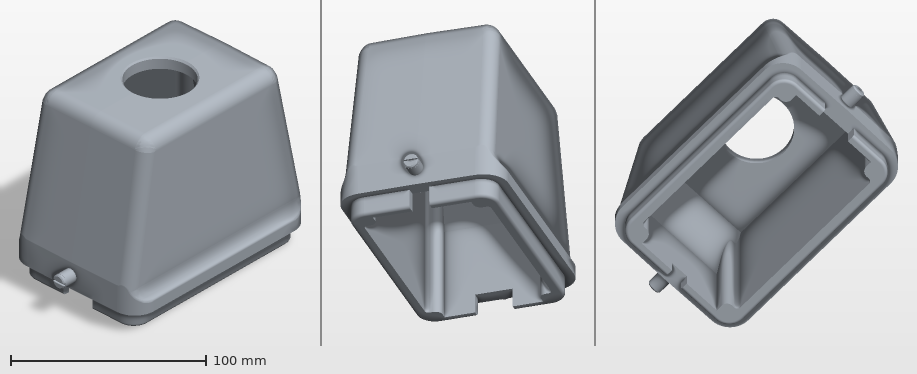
import cadquery as cq
import math

SKIRT_HALF_X = 39.8
SKIRT_HALF_Y = 61.2
SKIRT_HEIGHT = 10.3
SKIRT_CORNER_RADIUS = 9.7
SKIRT_EDGE_RADIUS = 1.7
FRONT_NOTCH_WIDTH = 20.3
BACK_NOTCH_WIDTH = 10.6

FLANGE_HALF_X = 45.0
FLANGE_HALF_Y = 65.5
FLANGE_TOP = 26.5
FLANGE_CORNER_RADIUS = 13.4
LEDGE_Z = 15.8
COVE_RADIUS = 9.9
RIM_RADIUS = 1.5

TOTAL_HEIGHT = 108.4
HOOD_FOOT_HALF_X = 40.5
HOOD_TOP_HALF_X = 38.0
ROOF_RADIUS = 7.9
CORNER_RADIUS = 7.0
RIDGE_RISE = 0.5
END_SLOPE = 0.192

ENTRY_DIAMETER = 38.5
ENTRY_CHAMFER = 1.0

WALL = 4.2
ROOF_THICKNESS = 7.1
CAVITY_HALF_X = 34.2
CAVITY_HALF_Y = SKIRT_HALF_Y - WALL
PAD_LENGTH_X = 7.6
PAD_FACE_Y = 49.5
PAD_EDGE_RADIUS = 4.0
CAVITY_CORNER_RADIUS = 2.0

PIN_DIAMETER = 8.0
PIN_TIP_DIAMETER = 7.9
PIN_TIP_LENGTH = 2.0
PIN_HEIGHT = 19.1
PIN_END_Y = 75.9
PIN_ROOT_DEPTH = 2.3
PIN_CHAMFER = 0.6
PIN_NECK_DIAMETER = 6.2
PIN_NECK_LENGTH = 0.6
SLOT_WIDTH = 1.4
SLOT_DEPTH = 1.2


def end_wall_y(x, z):
    """Distance of the sloping, slightly pointed end wall from the plane Y = 0."""
    point = RIDGE_RISE * (1 - x / FLANGE_HALF_X)
    return FLANGE_HALF_Y + point - END_SLOPE * (z - FLANGE_TOP)


def flat_face(points):
    return cq.Face.makeFromWires(cq.Wire.makePolygon([cq.Vector(*point) for point in points], close=True))


def make_half_hood():
    """The +X half of the hood: a flat-sided block with its outer edges rounded."""
    foot = []
    roof = []
    for x_foot, x_roof, z_roof in (
        (0, 0, TOTAL_HEIGHT),
        (HOOD_FOOT_HALF_X, HOOD_TOP_HALF_X, TOTAL_HEIGHT - RIDGE_RISE),
    ):
        for end in (-1, 1):
            foot.append((x_foot, end * end_wall_y(x_foot, LEDGE_Z), LEDGE_Z))
            roof.append((x_roof, end * end_wall_y(x_roof, z_roof), z_roof))
    around = (0, 1, 3, 2)
    faces = [flat_face([ring[i] for i in around]) for ring in (foot, roof)]
    for i, j in zip(around, around[1:] + around[:1]):
        faces.append(flat_face([foot[i], foot[j], roof[j], roof[i]]))
    block = cq.Workplane(cq.Solid.makeSolid(cq.Shell.makeShell(faces)))
    eaves = block.edges().filter(
        lambda edge: edge.Center().x > RIDGE_RISE and edge.Center().z > TOTAL_HEIGHT - 2 * RIDGE_RISE
    )
    hood = eaves.fillet(ROOF_RADIUS)
    corners = hood.edges().filter(
        lambda edge: edge.Center().x > HOOD_TOP_HALF_X and edge.BoundingBox().zlen > ROOF_RADIUS
    )
    return corners.fillet(CORNER_RADIUS)


def make_half_shell():
    """The +X half of hood and flange, with a concave fillet between them."""
    reach = 2 * FLANGE_HALF_Y
    ledge_height = LEDGE_Z - SKIRT_HEIGHT
    ledge = (
        cq.Workplane("XY", origin=(0, 0, SKIRT_HEIGHT))
        .box(reach, 2 * reach, ledge_height, centered=(False, True, False))
    )
    flared = make_half_hood().union(ledge)
    inner_corners = flared.edges(
        cq.selectors.BoxSelector(
            (RIDGE_RISE, -FLANGE_HALF_X * 1.6, LEDGE_Z - 0.2),
            (FLANGE_HALF_X, FLANGE_HALF_X * 1.6, LEDGE_Z + 0.2),
        )
    )
    flared = inner_corners.fillet(COVE_RADIUS)
    band = (
        cq.Workplane("XY", origin=(0, 0, SKIRT_HEIGHT))
        .moveTo(0, -FLANGE_HALF_Y - RIDGE_RISE)
        .lineTo(FLANGE_HALF_X, -FLANGE_HALF_Y)
        .lineTo(FLANGE_HALF_X, FLANGE_HALF_Y)
        .lineTo(0, FLANGE_HALF_Y + RIDGE_RISE)
        .close()
        .extrude(TOTAL_HEIGHT)
        .edges("|Z and >X")
        .fillet(FLANGE_CORNER_RADIUS)
    )
    shell = flared.intersect(band)
    outer_rim = shell.edges().filter(
        lambda edge: edge.Center().z > LEDGE_Z and edge.BoundingBox().xmin > FLANGE_HALF_X - RIM_RADIUS
    )
    return outer_rim.edges("|Y").fillet(RIM_RADIUS)


def make_skirt():
    return (
        cq.Workplane("XY")
        .rect(2 * SKIRT_HALF_X, 2 * SKIRT_HALF_Y)
        .extrude(SKIRT_HEIGHT)
        .edges("|Z")
        .fillet(SKIRT_CORNER_RADIUS)
        .faces("<Z")
        .edges()
        .fillet(SKIRT_EDGE_RADIUS)
    )


def make_cavity():
    height = TOTAL_HEIGHT - ROOF_THICKNESS
    bend_z = FLANGE_TOP + (FLANGE_HALF_Y - WALL - CAVITY_HALF_Y) / END_SLOPE
    top_half_y = CAVITY_HALF_Y - END_SLOPE * (height - bend_z)
    end_walls = (
        cq.Workplane("YZ")
        .moveTo(-CAVITY_HALF_Y, 0)
        .lineTo(CAVITY_HALF_Y, 0)
        .lineTo(CAVITY_HALF_Y, bend_z)
        .lineTo(top_half_y, height)
        .lineTo(-top_half_y, height)
        .lineTo(-CAVITY_HALF_Y, bend_z)
        .close()
        .extrude(CAVITY_HALF_X, both=True)
    )
    wide_part = (
        cq.Workplane("XY")
        .rect(2 * CAVITY_HALF_X, 2 * PAD_FACE_Y)
        .extrude(height)
        .edges("|Z")
        .fillet(CAVITY_CORNER_RADIUS)
    )
    pad_edge_x = CAVITY_HALF_X - PAD_LENGTH_X
    outline = wide_part.union(
        cq.Workplane("XY").rect(2 * pad_edge_x, 2 * CAVITY_HALF_Y).extrude(height)
    )
    pad_edges = outline.edges("|Z").filter(
        lambda edge: math.isclose(abs(edge.Center().x), pad_edge_x)
        and math.isclose(abs(edge.Center().y), PAD_FACE_Y)
    )
    return end_walls.intersect(pad_edges.fillet(PAD_EDGE_RADIUS))


def make_notch(side, width):
    """Opening through one end of the skirt, as high as the skirt."""
    depth = 2 * WALL
    return cq.Workplane("XY").box(width, depth, SKIRT_HEIGHT, centered=(True, True, False)).translate(
        (0, side * SKIRT_HALF_Y, 0)
    )


def make_entry():
    """Cable hole through the roof, widened by a chamfer at the top."""
    radius = ENTRY_DIAMETER / 2
    mouth_z = TOTAL_HEIGHT - ENTRY_CHAMFER
    return (
        cq.Workplane("XZ")
        .moveTo(0, TOTAL_HEIGHT - 2 * ROOF_THICKNESS)
        .lineTo(radius, TOTAL_HEIGHT - 2 * ROOF_THICKNESS)
        .lineTo(radius, mouth_z)
        .lineTo(radius + ENTRY_CHAMFER, TOTAL_HEIGHT)
        .lineTo(0, TOTAL_HEIGHT)
        .close()
        .revolve(360, (0, 0), (0, 1))
    )


def make_pin():
    """Pin on the +Y end, with a necked root and a slotted tip."""
    neck_start = FLANGE_HALF_Y - PIN_ROOT_DEPTH
    neck_end = FLANGE_HALF_Y + RIDGE_RISE + PIN_NECK_LENGTH
    radius = PIN_DIAMETER / 2
    tip_radius = PIN_TIP_DIAMETER / 2
    neck_radius = PIN_NECK_DIAMETER / 2
    pin = (
        cq.Workplane("XY")
        .moveTo(0, neck_start)
        .lineTo(neck_radius, neck_start)
        .lineTo(neck_radius, neck_end)
        .lineTo(radius, neck_end)
        .lineTo(radius, PIN_END_Y - PIN_TIP_LENGTH)
        .lineTo(tip_radius, PIN_END_Y - PIN_TIP_LENGTH)
        .lineTo(tip_radius, PIN_END_Y - PIN_CHAMFER)
        .lineTo(tip_radius - PIN_CHAMFER, PIN_END_Y)
        .lineTo(0, PIN_END_Y)
        .close()
        .revolve(360, (0, 0), (0, 1))
    )
    slot = cq.Workplane("XY").box(PIN_DIAMETER, 2 * SLOT_DEPTH, SLOT_WIDTH).translate((0, PIN_END_Y, 0))
    return pin.cut(slot).translate((0, 0, PIN_HEIGHT))


pin = make_pin()
half_body = make_half_shell()
result = (
    half_body.union(half_body.mirror("YZ"))
    .union(make_skirt())
    .cut(make_cavity())
    .cut(make_entry())
    .cut(make_notch(-1, FRONT_NOTCH_WIDTH))
    .cut(make_notch(1, BACK_NOTCH_WIDTH))
    .union(pin)
    .union(pin.mirror("XZ"))
)